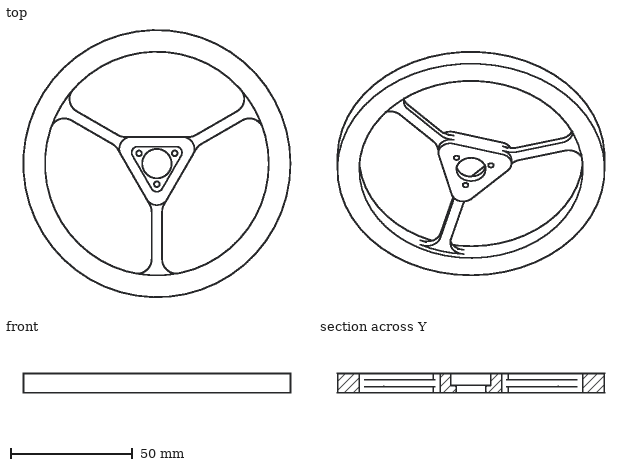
import cadquery as cq
import math

outer_diameter = 110.0
inner_diameter = 92.0
height = 8.0

hub_inradius = 11.0
hub_corner_radius = 5.0
bore_diameter = 12.0

pocket_inradius = 7.0
pocket_corner_radius = 2.5
pocket_depth = 5.0

bolt_hole_diameter = 2.2
bolt_circle_radius = 8.5

spoke_width = 4.4
spoke_thickness = 3.0
spoke_rim_fillet = 5.8
spoke_hub_fillet = 6.0
ring_overlap = 1.1
spoke_angles = (30, 150, 270)

inner_radius = inner_diameter / 2
spoke_bottom = (height - spoke_thickness) / 2


def polar_point(radius, angle):
    """Point in the XY plane at a radius and an angle in degrees."""
    return radius * math.cos(math.radians(angle)), radius * math.sin(math.radians(angle))


def triangle_prism(inradius, base, thickness):
    """Equilateral triangle with one corner on each spoke axis."""
    corners = [polar_point(2 * inradius, angle) for angle in spoke_angles]
    return cq.Workplane("XY").workplane(offset=base).polyline(corners).close().extrude(thickness)


def rim():
    return cq.Workplane("XY").circle(outer_diameter / 2).circle(inner_radius).extrude(height)


def spoke_layer():
    """Three spokes with a sharp triangular centre, blended into the hub sides and the rim."""
    layer = (
        cq.Workplane("XY")
        .workplane(offset=spoke_bottom)
        .circle((outer_diameter + inner_diameter) / 4)
        .circle(inner_radius)
        .extrude(spoke_thickness)
    )
    layer = layer.union(triangle_prism(hub_inradius, spoke_bottom, spoke_thickness))
    spoke = (
        cq.Workplane("XY")
        .workplane(offset=spoke_bottom)
        .center(inner_radius / 2, 0)
        .rect(inner_radius + ring_overlap, spoke_width)
        .extrude(spoke_thickness)
    )
    for angle in spoke_angles:
        layer = layer.union(spoke.rotate((0, 0, 0), (0, 0, 1), angle))

    half_width = spoke_width / 2
    rim_joint_distance = math.sqrt(inner_radius**2 - half_width**2)
    hub_joint_distance = 2 * hub_inradius - half_width / math.tan(math.radians(30))
    layer = fillet_joints(layer, rim_joint_distance, spoke_rim_fillet)
    return fillet_joints(layer, hub_joint_distance, spoke_hub_fillet)


def fillet_joints(layer, distance, radius):
    """Round the vertical edges where both sides of every spoke lie at a distance along its axis."""
    joint_radius = math.hypot(distance, spoke_width / 2)
    joint_angle = math.degrees(math.atan2(spoke_width / 2, distance))
    edges = layer.edges("|Z")
    joints = []
    for angle in spoke_angles:
        for side in (-1, 1):
            x, y = polar_point(joint_radius, angle + side * joint_angle)
            joints.append(edges.edges(cq.NearestToPointSelector((x, y, height / 2))).val())
    return layer.newObject(joints).fillet(radius)


def hub():
    return triangle_prism(hub_inradius, 0, height).edges("|Z").fillet(hub_corner_radius)


def pocket():
    block = triangle_prism(pocket_inradius, height - pocket_depth, pocket_depth)
    return block.edges("|Z").fillet(pocket_corner_radius)


def through_holes():
    bolt_points = [polar_point(bolt_circle_radius, angle) for angle in spoke_angles]
    bore = cq.Workplane("XY").circle(bore_diameter / 2).extrude(height)
    bolts = cq.Workplane("XY").pushPoints(bolt_points).circle(bolt_hole_diameter / 2).extrude(height)
    return bore.union(bolts)


result = rim().union(spoke_layer()).union(hub()).cut(pocket()).cut(through_holes())